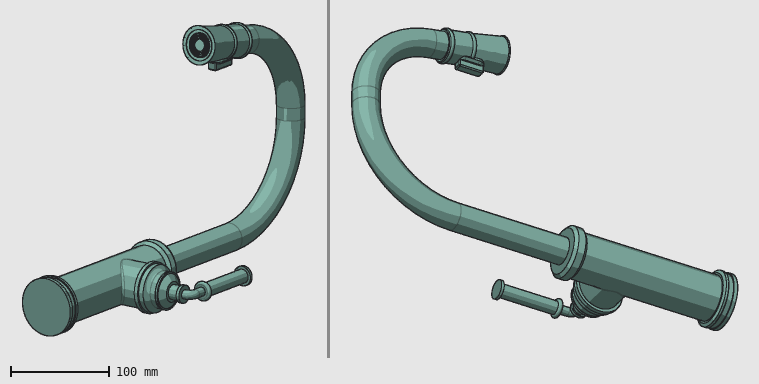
import cadquery as cq
import math


total_length = 433.0
overall_x = 134.0

body_r = 24.5
base_r = 30.5
base_waist_r = 29.0
base_shoulder_r = 27.0
base_foot_end = 4.5
base_ring_start = 10.5
base_ring_end = 13.5
base_end = 15.0
cap_r = 28.0
cap_start = 173.0
cap_end = 188.5
cap_chamfer = 3.5

tube_r = 14.7
tube_bend_start = 315.0
tube_peak_y = total_length - tube_r
tube_overlap = 4.5
lower_bend_r = tube_peak_y - tube_bend_start
upper_bend_r = 88.0
bend_gap = 13.5
upper_center_y = tube_peak_y - upper_bend_r
upper_center_z = lower_bend_r + bend_gap
head_stub = 15.5
head_angle = math.radians(9)
head_axis = cq.Vector(0, -math.cos(head_angle), math.sin(head_angle))
upper_bend_sweep = math.pi / 2 - head_angle

head_length = 68.5
head_overlap = 1.5
head_r = 17.5
bead_r = 18.5
bead_length = 4.5
bead_start_r = 16.5
second_bead = 26.0
face_r = 20.5
lip_length = 1.5
lip_neck_r = 19.5
nozzle_recess_r = 16.0
nozzle_recess_depth = 1.0
nozzle_ring_radii = (12.0, 9.5, 7.0)
nozzle_ring_width = 1.5
nozzle_ring_depth = 1.5

button_bottom_z = 184.5
button_top_z = 199.0
button_start_y = 283.0
button_end_y = 311.5
button_width = 10.5
button_chamfer = 1.5
pad_start_y = 281.5
pad_end_y = 316.0
pad_bottom_z = 191.5
pad_width = 19.0
pad_chamfer = 2.5

valve_y = 121.0
hub_r = 23.5
hub_fillet = 2.0
flange_start = 41.5
flange_end = 46.0
flange_r = 27.0
step_end = 51.5
step_r = 25.0
cove_sag = 1.0
bonnet_start = 56.3
bonnet_r = 19.5
bonnet_lip_start = 62.8
bonnet_lip_end = 65.5
bonnet_lip_r = 20.0
dome_start_r = 18.0
dome_end = 70.5
dome_end_r = 11.0
stem_r = 8.0
collar_start = 82.0
collar_end = 85.3
collar_r = 9.5

neck_r = 4.8
neck_overlap = 1.5
lever_bead_start = 139.5
lever_bead_end = 144.0
lever_bead_r = 10.5
lever_x = overall_x - base_r - lever_bead_r
grip_r = 7.5
lever_cap_start = 209.0
lever_end = 212.0


def axis_plane(origin, direction):
    """Plane whose local X runs along the given turning axis, lying in XY or YZ."""
    normal = (0, 0, 1) if direction[2] == 0 else (1, 0, 0)
    return cq.Plane(origin=origin, xDir=direction, normal=normal)


def turn(profile):
    """Revolve a closed half-outline about its local X axis."""
    return profile.close().revolve(360, (0, 0, 0), (1, 0, 0))


def make_body():
    """Base ring, cylindrical body and chamfered cap ring."""
    profile = cq.Workplane(axis_plane((0, 0, 0), (0, 1, 0))).polyline([
        (0, 0),
        (0, base_r),
        (base_foot_end, base_r),
        (base_foot_end, base_waist_r),
        (base_ring_start, base_waist_r),
        (base_ring_start, base_r),
        (base_ring_end, base_r),
        (base_end, base_shoulder_r),
        (base_end, body_r),
        (cap_start, body_r),
        (cap_start + cap_chamfer, cap_r),
        (cap_end - cap_chamfer, cap_r),
        (cap_end, cap_r - cap_chamfer),
        (cap_end, 0),
    ])
    return turn(profile)


def make_valve():
    """Stepped hub, domed bonnet, stem and stem collar, turned about one axis."""
    cove_middle = ((step_end + bonnet_start) / 2 - cove_sag, (step_r + bonnet_r) / 2 - cove_sag)
    profile = (
        cq.Workplane(axis_plane((0, valve_y, 0), (1, 0, 0)))
        .moveTo(0, 0)
        .lineTo(0, hub_r)
        .lineTo(flange_start, hub_r)
        .lineTo(flange_start, flange_r)
        .lineTo(flange_end, flange_r)
        .lineTo(flange_end, step_r)
        .lineTo(step_end, step_r)
        .threePointArc(cove_middle, (bonnet_start, bonnet_r))
        .lineTo(bonnet_lip_start, bonnet_r)
        .lineTo(bonnet_lip_start, bonnet_lip_r)
        .lineTo(bonnet_lip_end, bonnet_lip_r)
        .lineTo(bonnet_lip_end, dome_start_r)
        .lineTo(dome_end, dome_end_r)
        .lineTo(dome_end, stem_r)
        .lineTo(collar_start, stem_r)
        .lineTo(collar_start, collar_r)
        .lineTo(collar_end, collar_r)
        .lineTo(collar_end, 0)
    )
    return turn(profile)


def make_lever_neck():
    """Elbow tube from the stem collar to the lever bead."""
    elbow_r = lever_x - collar_end
    elbow_end_y = valve_y + elbow_r
    diagonal = elbow_r * math.sqrt(0.5)
    path = (
        cq.Workplane("XY")
        .moveTo(collar_end, valve_y)
        .threePointArc((collar_end + diagonal, elbow_end_y - diagonal), (lever_x, elbow_end_y))
        .lineTo(lever_x, lever_bead_start + neck_overlap)
    )
    return cq.Workplane("YZ", origin=(collar_end, valve_y, 0)).circle(neck_r).sweep(path)


def make_lever_grip():
    """Slim grip with a rounded bead at its root and a flat disc at its end."""
    bead_middle = (lever_bead_start + lever_bead_end) / 2
    profile = (
        cq.Workplane(axis_plane((lever_x, 0, 0), (0, 1, 0)))
        .moveTo(lever_bead_start, 0)
        .lineTo(lever_bead_start, grip_r)
        .threePointArc((bead_middle, lever_bead_r), (lever_bead_end, grip_r))
        .lineTo(lever_cap_start, grip_r)
        .lineTo(lever_cap_start, lever_bead_r)
        .lineTo(lever_end, lever_bead_r)
        .lineTo(lever_end, 0)
    )
    return turn(profile)


def upper_bend_point(sweep):
    """(y, z) on the upper bend centreline after turning through the given angle."""
    return (
        upper_center_y + upper_bend_r * math.cos(sweep),
        upper_center_z + upper_bend_r * math.sin(sweep),
    )


head_start = cq.Vector(0, *upper_bend_point(upper_bend_sweep)) + head_axis * head_stub


def make_tube():
    """Straight riser and the two-radius bend, ending at the spray head."""
    riser_start = cap_end - tube_overlap
    diagonal = lower_bend_r * math.sqrt(0.5)
    path = (
        cq.Workplane("YZ")
        .moveTo(riser_start, 0)
        .lineTo(tube_bend_start, 0)
        .threePointArc(
            (tube_bend_start + diagonal, lower_bend_r - diagonal),
            (tube_peak_y, lower_bend_r),
        )
        .lineTo(tube_peak_y, upper_center_z)
        .threePointArc(upper_bend_point(upper_bend_sweep / 2), upper_bend_point(upper_bend_sweep))
        .lineTo(head_start.y, head_start.z)
    )
    return cq.Workplane("XZ", origin=(0, riser_start, 0)).circle(tube_r).sweep(path)


def make_head():
    """Flared spray head with two beads and a recessed, ringed nozzle face."""
    face_center = head_start + head_axis * head_length
    first_bead_crest = (bead_length / 2, bead_r)
    second_bead_end = second_bead + bead_length
    second_bead_crest = (second_bead + bead_length / 2, bead_r)
    head = turn(
        cq.Workplane(axis_plane(head_start, head_axis.toTuple()))
        .moveTo(-head_overlap, 0)
        .lineTo(-head_overlap, bead_start_r)
        .lineTo(0, head_r)
        .threePointArc(first_bead_crest, (bead_length, head_r))
        .lineTo(second_bead, head_r)
        .threePointArc(second_bead_crest, (second_bead_end, head_r))
        .lineTo(head_length - lip_length, lip_neck_r)
        .lineTo(head_length, face_r)
        .lineTo(head_length, 0)
    )
    face = cq.Workplane(cq.Plane(face_center, (1, 0, 0), head_axis))
    head = head.cut(face.circle(nozzle_recess_r).extrude(-nozzle_recess_depth))
    groove_floor = nozzle_recess_depth + nozzle_ring_depth
    for radius in nozzle_ring_radii:
        ring = face.circle(radius + nozzle_ring_width / 2).circle(radius - nozzle_ring_width / 2)
        head = head.cut(ring.extrude(-groove_floor))
    return head


def make_button():
    """Rectangular button standing on a rounded pad along the underside of the head."""
    button = (
        cq.Workplane("XY")
        .box(
            button_width,
            button_end_y - button_start_y,
            button_top_z - button_bottom_z,
            centered=(True, False, False),
        )
        .edges("|Z or <Z")
        .chamfer(button_chamfer)
        .translate((0, button_start_y, button_bottom_z))
    )
    pad_center_y = (pad_start_y + pad_end_y) / 2
    pad = (
        cq.Workplane("XY", origin=(0, pad_center_y, pad_bottom_z))
        .slot2D(pad_end_y - pad_start_y, pad_width, 90)
        .extrude(button_top_z - pad_bottom_z)
        .faces("<Z")
        .chamfer(pad_chamfer)
    )
    return button.union(pad)


def make_body_with_valve():
    """Body and valve hub, with a fillet where the hub meets the body."""
    joint_zone = cq.selectors.BoxSelector(
        (hub_fillet, valve_y - flange_r, -flange_r),
        (flange_start - hub_fillet, valve_y + flange_r, flange_r),
    )
    joined = make_body().union(make_valve())
    return joined.edges(joint_zone).fillet(hub_fillet)


result = make_body_with_valve()
result = result.union(make_lever_neck()).union(make_lever_grip())
result = result.union(make_tube()).union(make_head()).union(make_button())